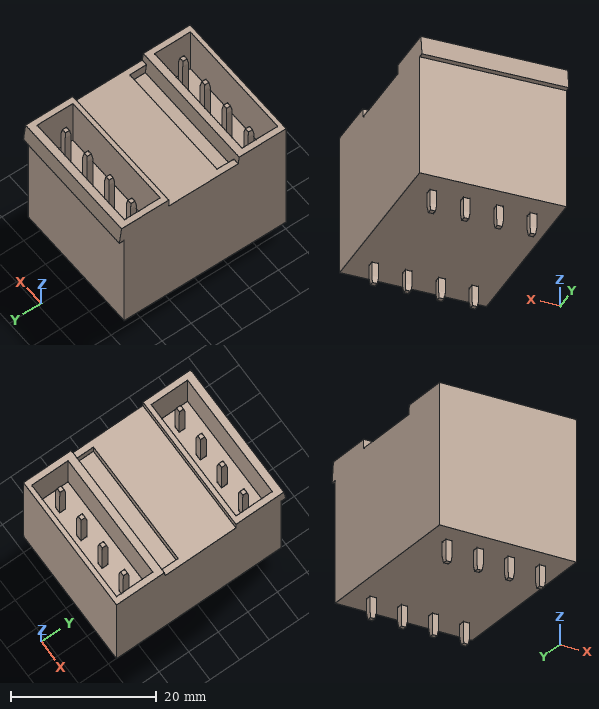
import cadquery as cq

WIDTH = 22.0
HEIGHT = 22.0
BODY_DEPTH = 27.85

LIP_REACH = 28.68
LIP_HEIGHT = 3.1
LIP_TAPER_RUN = 0.37

ROW_SPACING = 20.2
ROW_DEPTH = 8.1
STEP_DEPTH = 1.4
SIDE_WALL = 1.0
FRONT_WALL = 0.72
CAVITY_LENGTH = 6.15
CAVITY_DEPTH = 8.6
CAVITY_WIDTH = WIDTH - 2 * SIDE_WALL

POCKET_REAR = 11.13

PINS_PER_ROW = 4
PIN_PITCH = 5.0
PIN_SIDE = 1.0
TOP_TIP_SIDE = 0.7
TOP_TIP_LENGTH = 1.0
TOP_TIP_GAP = 0.9
BOTTOM_TIP_SIDE = 0.75
BOTTOM_TIP_LENGTH = 0.95
PIN_PROTRUSION = 3.2

SADDLE_Z = HEIGHT - STEP_DEPTH
LIP_BOTTOM_Z = HEIGHT - LIP_HEIGHT
LIP_TOP_Y = LIP_REACH - LIP_TAPER_RUN
POCKET_FRONT_Y = ROW_DEPTH + LIP_TAPER_RUN
STEP_FOOT_Y = ROW_DEPTH + LIP_TAPER_RUN * STEP_DEPTH / LIP_HEIGHT
FRONT_PIN_Y = FRONT_WALL + CAVITY_LENGTH / 2
ROW_OFFSETS = [0, ROW_SPACING]
PIN_XY = [
    ((column - (PINS_PER_ROW - 1) / 2) * PIN_PITCH, FRONT_PIN_Y + row_offset)
    for row_offset in ROW_OFFSETS
    for column in range(PINS_PER_ROW)
]


def extrude_side_profile(points, width):
    """Extrude a (Y, Z) outline along X, centred on X = 0."""
    return cq.Workplane("YZ").polyline(points).close().extrude(width / 2, both=True)


def make_block():
    """Housing outline: two raised rows, the saddle between them and the rear lip."""
    outline = [
        (0, 0),
        (BODY_DEPTH, 0),
        (BODY_DEPTH, LIP_BOTTOM_Z),
        (LIP_REACH, LIP_BOTTOM_Z),
        (LIP_TOP_Y, HEIGHT),
        (ROW_SPACING, HEIGHT),
        (ROW_SPACING, SADDLE_Z),
        (STEP_FOOT_Y, SADDLE_Z),
        (ROW_DEPTH, HEIGHT),
        (0, HEIGHT),
    ]
    return extrude_side_profile(outline, WIDTH)


def make_pocket():
    """Pocket volume whose front face carries on the slope of the front row's rear face."""
    outline = [
        (STEP_FOOT_Y, SADDLE_Z),
        (POCKET_FRONT_Y, LIP_BOTTOM_Z),
        (POCKET_REAR, LIP_BOTTOM_Z),
        (POCKET_REAR, SADDLE_Z),
    ]
    return extrude_side_profile(outline, CAVITY_WIDTH)


def make_cavity(row_offset):
    """Open-topped cavity volume of one connector row."""
    return (
        cq.Workplane("XY", origin=(0, FRONT_PIN_Y + row_offset, HEIGHT))
        .rect(CAVITY_WIDTH, CAVITY_LENGTH)
        .extrude(-CAVITY_DEPTH)
    )


def make_pin(x, y):
    """Square pin with a tapered tip at each end."""
    shank_bottom = BOTTOM_TIP_LENGTH - PIN_PROTRUSION
    shank_top = HEIGHT - TOP_TIP_GAP - TOP_TIP_LENGTH
    return (
        cq.Workplane("XY", origin=(x, y, shank_bottom))
        .rect(PIN_SIDE, PIN_SIDE)
        .extrude(shank_top - shank_bottom)
        .faces(">Z")
        .workplane()
        .rect(PIN_SIDE, PIN_SIDE)
        .workplane(offset=TOP_TIP_LENGTH)
        .rect(TOP_TIP_SIDE, TOP_TIP_SIDE)
        .loft(combine=True)
        .faces("<Z")
        .workplane()
        .rect(PIN_SIDE, PIN_SIDE)
        .workplane(offset=BOTTOM_TIP_LENGTH)
        .rect(BOTTOM_TIP_SIDE, BOTTOM_TIP_SIDE)
        .loft(combine=True)
    )


def make_housing():
    """Block with its pocket, row cavities and pin holes cut out."""
    housing = make_block().cut(make_pocket())
    for row_offset in ROW_OFFSETS:
        housing = housing.cut(make_cavity(row_offset))
    pin_holes = (
        cq.Workplane("XY")
        .pushPoints(PIN_XY)
        .rect(PIN_SIDE, PIN_SIDE)
        .extrude(HEIGHT)
    )
    return housing.cut(pin_holes)


housing = make_housing()
pins = [make_pin(x, y) for x, y in PIN_XY]

result = cq.Compound.makeCompound([housing.val(), *[pin.val() for pin in pins]])